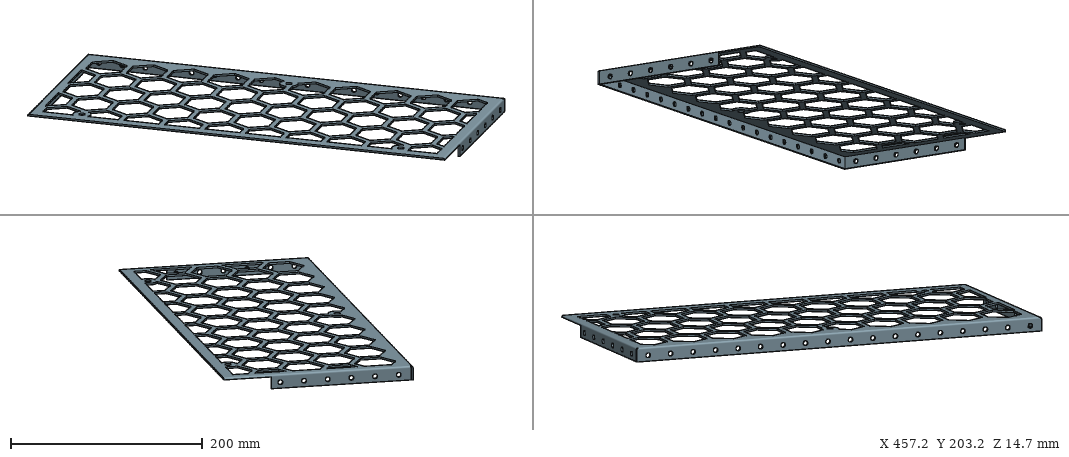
import cadquery as cq
import math

LENGTH = 457.2
WIDTH = 203.2
THICKNESS = 2.03
FLANGE_DROP = 12.7
HEIGHT = THICKNESS + FLANGE_DROP
BEND_RADIUS = THICKNESS
SIDE_FLANGE_END = 152.4
CORNER_GAP = 0.25

FLANGE_HOLE_DIAMETER = 4.98
FLANGE_HOLE_PITCH = 25.4
FLANGE_HOLE_Z = -THICKNESS - FLANGE_DROP / 2
BACK_HOLE_COUNT = 18
SIDE_HOLE_COUNT = 6
FIRST_SIDE_HOLE = 15.5

HEX_SIDES = 6
HEX_FLATS = 38.1
RIB = 6.35
HEX_PITCH = HEX_FLATS + RIB
HEX_ROW_PITCH = HEX_PITCH * math.sqrt(3) / 2
HEX_RADIUS = HEX_FLATS / math.sqrt(3)
HEX_ROWS = 5
HEX_COLUMNS = 10
BORDER = 12.7
FIRST_HEX_X = -LENGTH / 2 + BORDER + HEX_FLATS / 2
FIRST_HEX_Y = WIDTH / 2 - BORDER - HEX_RADIUS

PAD_DIAMETER = 19.05
PAD_HOLE_DIAMETER = 6.35
BACK_PAD_SETBACK = 25.4
FRONT_PAD_SETBACK = 17.78
BACK_PAD_Y = WIDTH / 2 - BACK_PAD_SETBACK
FRONT_PAD_X = FIRST_HEX_X + HEX_PITCH / 2
FRONT_PAD_Y = -WIDTH / 2 + FRONT_PAD_SETBACK
PAD_CENTERS = [(0, BACK_PAD_Y), (FRONT_PAD_X, FRONT_PAD_Y), (-FRONT_PAD_X, FRONT_PAD_Y)]


def bent_tray():
    """Sheet with a wall along the back and both sides, rounded along the bends; its top is at Z = 0."""
    outer = cq.Workplane("XY").box(LENGTH, WIDTH, HEIGHT).translate((0, 0, -HEIGHT / 2))
    outer = outer.faces(">Z").edges("not <Y").fillet(BEND_RADIUS)
    cavity = cq.Workplane("XY").box(LENGTH - 2 * THICKNESS, WIDTH, FLANGE_DROP).translate(
        (0, -THICKNESS, -HEIGHT + FLANGE_DROP / 2)
    )
    return outer.cut(cavity)


def front_trim():
    """Room below the sheet in front of the side flanges."""
    depth = WIDTH - SIDE_FLANGE_END
    room = cq.Workplane("XY").box(LENGTH, depth, FLANGE_DROP)
    return room.translate((0, (depth - WIDTH) / 2, -HEIGHT + FLANGE_DROP / 2))


def corner_gap():
    """Slit behind one side flange, parting its wall and bend from the back flange; open to the right."""
    slit = cq.Workplane("XY").box(BEND_RADIUS, CORNER_GAP, HEIGHT)
    return slit.translate(
        ((LENGTH - BEND_RADIUS) / 2, WIDTH / 2 - THICKNESS - CORNER_GAP / 2, -HEIGHT / 2)
    )


def honeycomb():
    """Hexagonal openings in staggered rows, trimmed to the window inside the border."""
    shifted_x = FIRST_HEX_X - HEX_PITCH / 2
    centers = []
    for row in range(HEX_ROWS):
        row_x = shifted_x if row % 2 else FIRST_HEX_X
        columns = HEX_COLUMNS + row % 2
        for column in range(columns):
            centers.append((row_x + column * HEX_PITCH, FIRST_HEX_Y - row * HEX_ROW_PITCH))
    hexagon = cq.Sketch().regularPolygon(HEX_RADIUS, HEX_SIDES)
    openings = cq.Workplane("XY").pushPoints(centers).placeSketch(hexagon).extrude(-THICKNESS)
    window_right = LENGTH / 2 - BORDER
    window_front = -WIDTH / 2 + BORDER
    window = cq.Workplane("XY").box(
        window_right - shifted_x, WIDTH / 2 - window_front, THICKNESS, centered=False
    ).translate((shifted_x, window_front, -THICKNESS))
    return openings.intersect(window)


def pads():
    return cq.Workplane("XY").pushPoints(PAD_CENTERS).circle(PAD_DIAMETER / 2).extrude(-THICKNESS)


def pad_holes():
    return cq.Workplane("XY").pushPoints(PAD_CENTERS).circle(PAD_HOLE_DIAMETER / 2).extrude(-THICKNESS)


def back_flange_holes():
    first = -(BACK_HOLE_COUNT - 1) * FLANGE_HOLE_PITCH / 2
    points = [(first + i * FLANGE_HOLE_PITCH, FLANGE_HOLE_Z) for i in range(BACK_HOLE_COUNT)]
    holes = cq.Workplane("XZ", origin=(0, WIDTH / 2, 0)).pushPoints(points)
    return holes.circle(FLANGE_HOLE_DIAMETER / 2).extrude(THICKNESS)


def side_flange_holes():
    """Each hole runs straight through both side flanges."""
    first = WIDTH / 2 - FIRST_SIDE_HOLE
    points = [(first - i * FLANGE_HOLE_PITCH, FLANGE_HOLE_Z) for i in range(SIDE_HOLE_COUNT)]
    holes = cq.Workplane("YZ").pushPoints(points)
    return holes.circle(FLANGE_HOLE_DIAMETER / 2).extrude(LENGTH / 2, both=True)


right_gap = corner_gap()
openings = honeycomb().cut(pads())
result = bent_tray().cut(front_trim()).cut(right_gap).cut(right_gap.mirror("YZ"))
result = result.cut(openings).cut(pad_holes())
result = result.cut(back_flange_holes()).cut(side_flange_holes())